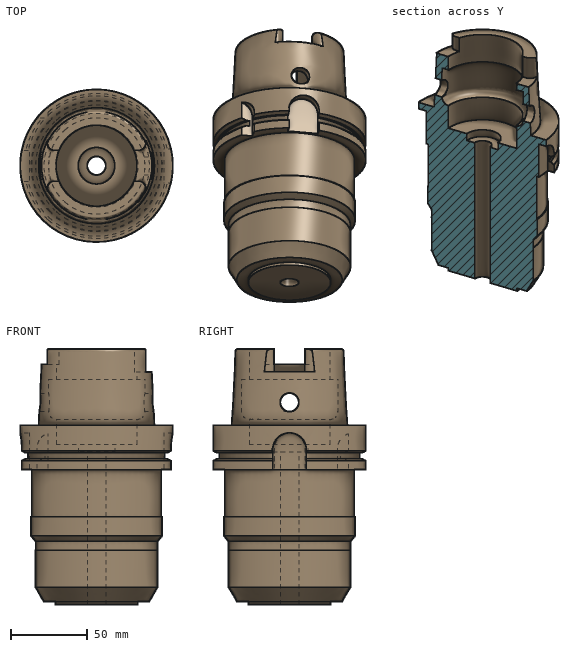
import cadquery as cq
import math


taper_length = 50.0
taper_base_radius = 38.0
taper_tip_radius = 35.5
tip_rounding = 2.0
rim_bore_radius = 26.5
rim_bore_depth = 20.0
cavity_radius = 31.5
cavity_straight_depth = 41.0
well_radius = rim_bore_radius
well_floor_depth = 62.5
socket_radius = 12.0
socket_depth = 5.0
coolant_hole_radius = 6.0
cross_hole_radius = 6.0
cross_hole_height = 15.0

tip_slot_width = 20.0
tip_slot_corner_radius = 5.0
lug_half_length = 32.3
shallow_slot_depth = 10.0
deep_slot_depth = 15.0

flange_radius = 50.0
flange_height = 29.0
groove_center_depth = 20.0
groove_width = 3.75
groove_floor_radius = 46.0
groove_chamfer_width = 2.5
groove_chamfer_height = 1.5

arch_top_depth = 5.0
narrow_key_width = 20.0
wide_key_width = 22.0
key_floor_distance = 44.0
notch_width = 20.0
notch_center_y = 41.3
notch_floor_distance = 32.0

neck_radius = 42.5
collar_radius = 43.0
collar_top_depth = 60.0
collar_bottom_depth = 72.3
shoulder_radius = 39.95
shoulder_top_depth = 76.0
sleeve_radius = 40.0
sleeve_top_depth = 81.7
nose_top_depth = 105.9
nose_bottom_depth = 115.4
nose_angle = 30.0
boss_radius = 27.0
body_bottom_depth = 117.4


def make_outer_body():
    """Taper, flange, groove and chuck body as one turned solid."""
    groove_top = -groove_center_depth + groove_width / 2
    groove_bottom = -groove_center_depth - groove_width / 2
    groove_lip_radius = flange_radius - groove_chamfer_width
    nose_drop = nose_bottom_depth - nose_top_depth
    nose_end_radius = sleeve_radius - nose_drop * math.tan(math.radians(nose_angle))
    outline = (
        cq.Workplane("XZ")
        .moveTo(0, taper_length)
        .lineTo(taper_tip_radius, taper_length)
        .lineTo(taper_base_radius, 0)
        .lineTo(flange_radius, 0)
        .lineTo(flange_radius, groove_top + groove_chamfer_height)
        .lineTo(groove_lip_radius, groove_top)
        .lineTo(groove_floor_radius, groove_top)
        .lineTo(groove_floor_radius, groove_bottom)
        .lineTo(groove_lip_radius, groove_bottom)
        .lineTo(flange_radius, groove_bottom - groove_chamfer_height)
        .lineTo(flange_radius, -flange_height)
        .lineTo(neck_radius, -flange_height)
        .lineTo(neck_radius, -collar_top_depth)
        .lineTo(collar_radius, -collar_top_depth)
        .lineTo(collar_radius, -collar_bottom_depth)
        .lineTo(shoulder_radius, -shoulder_top_depth)
        .lineTo(shoulder_radius, -sleeve_top_depth)
        .lineTo(sleeve_radius, -sleeve_top_depth)
        .lineTo(sleeve_radius, -nose_top_depth)
        .lineTo(nose_end_radius, -nose_bottom_depth)
        .lineTo(boss_radius, -nose_bottom_depth)
        .lineTo(boss_radius, -body_bottom_depth)
        .lineTo(0, -body_bottom_depth)
        .close()
    )
    body = outline.revolve(360, (0, 0, 0), (0, 1, 0))
    return body.faces(">Z").edges().fillet(tip_rounding)


def make_cavity():
    """Undercut clamping cavity, rounded down to a narrower well with a socket and coolant hole."""
    undercut_top = taper_length - rim_bore_depth
    blend_radius = cavity_radius - well_radius
    blend_top = taper_length - cavity_straight_depth
    blend_bottom = blend_top - blend_radius
    blend_middle_offset = blend_radius * math.sqrt(0.5)
    blend_middle = (well_radius + blend_middle_offset, blend_top - blend_middle_offset)
    floor = taper_length - well_floor_depth
    socket_floor = floor - socket_depth
    return (
        cq.Workplane("XZ")
        .moveTo(0, taper_length)
        .lineTo(rim_bore_radius, taper_length)
        .lineTo(rim_bore_radius, undercut_top)
        .lineTo(cavity_radius, undercut_top)
        .lineTo(cavity_radius, blend_top)
        .threePointArc(blend_middle, (well_radius, blend_bottom))
        .lineTo(well_radius, floor)
        .lineTo(socket_radius, floor)
        .lineTo(socket_radius, socket_floor)
        .lineTo(coolant_hole_radius, socket_floor)
        .lineTo(coolant_hole_radius, -body_bottom_depth)
        .lineTo(0, -body_bottom_depth)
        .close()
        .revolve(360, (0, 0, 0), (0, 1, 0))
    )


def make_tip_slot(side, depth):
    """Slot through the taper tip on the +X (side = 1) or -X (side = -1) side, flared by lug corners."""
    half_width = tip_slot_width / 2
    corner = tip_slot_corner_radius
    flare_start = side * (lug_half_length - corner)
    flare_end = side * lug_half_length
    flare_half_width = half_width + corner
    outer_x = side * flange_radius
    bulge = corner * math.sqrt(0.5)
    arc_x = flare_start + side * bulge
    arc_y = flare_half_width - bulge
    return (
        cq.Workplane("XY")
        .workplane(offset=taper_length - depth)
        .moveTo(0, -half_width)
        .lineTo(flare_start, -half_width)
        .threePointArc((arc_x, -arc_y), (flare_end, -flare_half_width))
        .lineTo(flare_end, -flange_radius)
        .lineTo(outer_x, -flange_radius)
        .lineTo(outer_x, flange_radius)
        .lineTo(flare_end, flange_radius)
        .lineTo(flare_end, flare_half_width)
        .threePointArc((arc_x, arc_y), (flare_start, half_width))
        .lineTo(0, half_width)
        .close()
        .extrude(depth)
    )


def make_arched_slot(side, width, center_y, floor_distance):
    """Round-topped slot cut along X into the flange rim, open at the flange underside."""
    radius = width / 2
    arch_center_z = -arch_top_depth - radius
    return (
        cq.Workplane("YZ")
        .workplane(offset=side * floor_distance)
        .moveTo(center_y - radius, -flange_height)
        .lineTo(center_y - radius, arch_center_z)
        .threePointArc((center_y, -arch_top_depth), (center_y + radius, arch_center_z))
        .lineTo(center_y + radius, -flange_height)
        .close()
        .extrude(side * (flange_radius - floor_distance))
    )


def make_cross_hole():
    """Radial hole through both walls of the taper, along X."""
    return (
        cq.Workplane("YZ")
        .center(0, cross_hole_height)
        .circle(cross_hole_radius)
        .extrude(taper_base_radius, both=True)
    )


result = (
    make_outer_body()
    .cut(make_cavity())
    .cut(make_tip_slot(-1, shallow_slot_depth))
    .cut(make_tip_slot(1, deep_slot_depth))
    .cut(make_cross_hole())
    .cut(make_arched_slot(-1, narrow_key_width, 0, key_floor_distance))
    .cut(make_arched_slot(1, wide_key_width, 0, key_floor_distance))
    .cut(make_arched_slot(-1, notch_width, notch_center_y, notch_floor_distance))
)